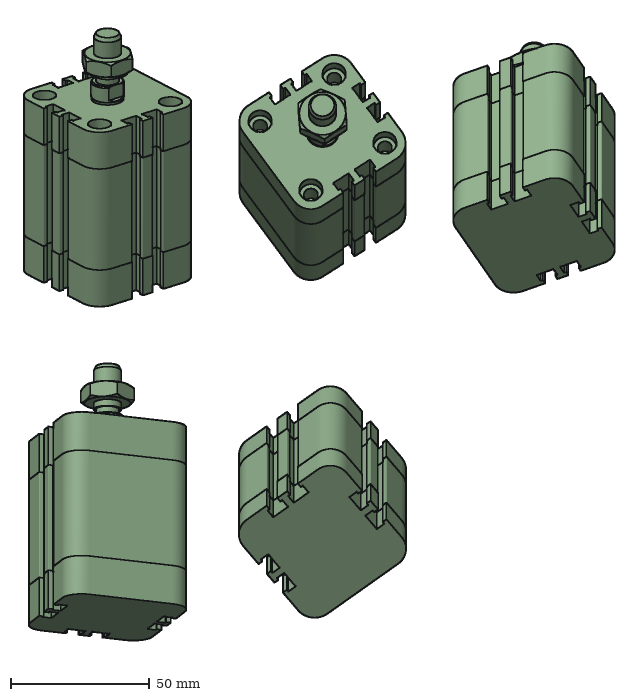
import cadquery as cq
import math

block_width = 47.5
block_height = 69.1
cap_height = 14.5
corner_radius = 7.5
barrel_height = block_height - 2 * cap_height
front_cap_base = block_height - cap_height

slot_pitch = 9.4
slot_neck_width = 4.9
slot_pocket_width = 6.7
slot_depth = 5.1
lip_thickness = 1.8
lip_radius = 0.24
slotted_side_angles = (-90, 0, 90)

mount_spacing = block_width - 2 * corner_radius
mount_hole_diameter = 5.1
mount_counterbore_diameter = 8.5
mount_counterbore_depth = 5.0

rod_shank_diameter = 11.8
rod_collar_diameter = 12.0
rod_thread_diameter = 10.0
rod_neck_diameter = 8.5
overall_height = 95.0
collar_base = block_height + 0.95
collar_top = 76.2
collar_chamfer = 0.5
neck_top = 78.8
tip_chamfer_height = 1.5
flat_width = 10.0
flat_base = block_height + 1.8
flat_ramp_angle = 30.0

nut_across_flats = 17.0
nut_height = 6.0
nut_base = 81.1
nut_chamfer_diameter = 16.7
nut_chamfer_angle = 30.0


def slot_centres():
    """X positions of the two slots on the -Y side."""
    return (-slot_pitch / 2, slot_pitch / 2)


def slot_pair(height):
    """Cutter for the two T-slots on the -Y side, from Z = 0 up."""
    front = -block_width / 2
    necks = (
        cq.Workplane("XY")
        .pushPoints([(x, front + slot_depth / 2) for x in slot_centres()])
        .rect(slot_neck_width, slot_depth)
        .extrude(height)
    )
    pocket_depth = slot_depth - lip_thickness
    pockets = (
        cq.Workplane("XY")
        .pushPoints([(x, front + lip_thickness + pocket_depth / 2) for x in slot_centres()])
        .rect(slot_pocket_width, pocket_depth)
        .extrude(height)
    )
    return necks.union(pockets)


def slotted_block(base, height, rounded_lips=False):
    """Length of the slotted profile starting at the height `base`."""
    block = cq.Workplane("XY").rect(block_width, block_width).extrude(height)
    block = block.edges("|Z").fillet(corner_radius)
    axis = ((0, 0, 0), (0, 0, 1))
    cutter = slot_pair(height)
    for angle in slotted_side_angles:
        block = block.rotate(*axis, angle)
        block = block.cut(cutter)
        if rounded_lips:
            block = round_lips(block, height)
        block = block.rotate(*axis, -angle)
    return block.translate((0, 0, base))


def round_lips(block, height):
    """Round the lip edges beside the two slot necks on the -Y side."""
    margin = 0.1
    reach = slot_neck_width / 2 + margin
    front = -block_width / 2
    for x in slot_centres():
        neck_region = cq.selectors.BoxSelector(
            (x - reach, front - margin, -margin),
            (x + reach, front + lip_thickness + margin, height + margin),
        )
        block = block.edges("|Z").edges(neck_region).fillet(lip_radius)
    return block


def make_front_cap():
    """Cap with four counterbored corner holes and the central rod bore."""
    cap = slotted_block(front_cap_base, cap_height)
    cap = (
        cap.faces(">Z")
        .workplane(origin=(0, 0, block_height))
        .rect(mount_spacing, mount_spacing, forConstruction=True)
        .vertices()
        .cboreHole(mount_hole_diameter, mount_counterbore_diameter, mount_counterbore_depth)
    )
    return cap.faces(">Z").workplane(origin=(0, 0, block_height)).hole(rod_shank_diameter)


def wrench_flat_cutter():
    """Cutter for the flat on the +X side, with a ramp running out at its lower end."""
    inner = flat_width / 2
    outer = rod_collar_diameter
    ramp_drop = (outer - inner) * math.tan(math.radians(flat_ramp_angle))
    return (
        cq.Workplane("XZ")
        .polyline(
            [
                (inner, flat_base),
                (outer, flat_base - ramp_drop),
                (outer, collar_top),
                (inner, collar_top),
            ]
        )
        .close()
        .extrude(rod_collar_diameter, both=True)
    )


def make_rod():
    """Turned rod standing on the barrel, with two wrench flats on its collar."""
    shank = rod_shank_diameter / 2
    collar = rod_collar_diameter / 2
    thread = rod_thread_diameter / 2
    neck = rod_neck_diameter / 2
    rod = (
        cq.Workplane("XZ")
        .polyline(
            [
                (0, front_cap_base),
                (shank, front_cap_base),
                (shank, collar_base),
                (collar, collar_base),
                (collar, collar_top - collar_chamfer),
                (collar - collar_chamfer, collar_top),
                (neck, collar_top),
                (neck, neck_top),
                (thread, neck_top),
                (thread, overall_height - tip_chamfer_height),
                (neck, overall_height),
                (0, overall_height),
            ]
        )
        .close()
        .revolve(360, (0, 0), (0, 1))
    )
    flat = wrench_flat_cutter()
    return rod.cut(flat).cut(flat.mirror("YZ"))


def make_nut():
    """Hexagon nut with corners toward +Y and -Y, chamfered at both ends."""
    across_corners = nut_across_flats / math.cos(math.radians(30))
    hexagon = (
        cq.Workplane("XY", origin=(0, 0, nut_base))
        .polygon(6, across_corners)
        .extrude(nut_height)
        .rotate((0, 0, 0), (0, 0, 1), 90)
    )
    end_radius = nut_chamfer_diameter / 2
    rim_radius = across_corners / 2
    chamfer_height = (rim_radius - end_radius) * math.tan(math.radians(nut_chamfer_angle))
    nut_top = nut_base + nut_height
    envelope = (
        cq.Workplane("XZ")
        .polyline(
            [
                (0, nut_base),
                (end_radius, nut_base),
                (rim_radius, nut_base + chamfer_height),
                (rim_radius, nut_top - chamfer_height),
                (end_radius, nut_top),
                (0, nut_top),
            ]
        )
        .close()
        .revolve(360, (0, 0), (0, 1))
    )
    nut = hexagon.intersect(envelope)
    return nut.faces(">Z").workplane(origin=(0, 0, nut_top)).hole(rod_thread_diameter)


rear_cap = slotted_block(0, cap_height)
barrel = slotted_block(cap_height, barrel_height, rounded_lips=True)
front_cap = make_front_cap()
rod = make_rod()
nut = make_nut()

result = cq.Compound.makeCompound(
    [rear_cap.val(), barrel.val(), front_cap.val(), rod.val(), nut.val()]
)